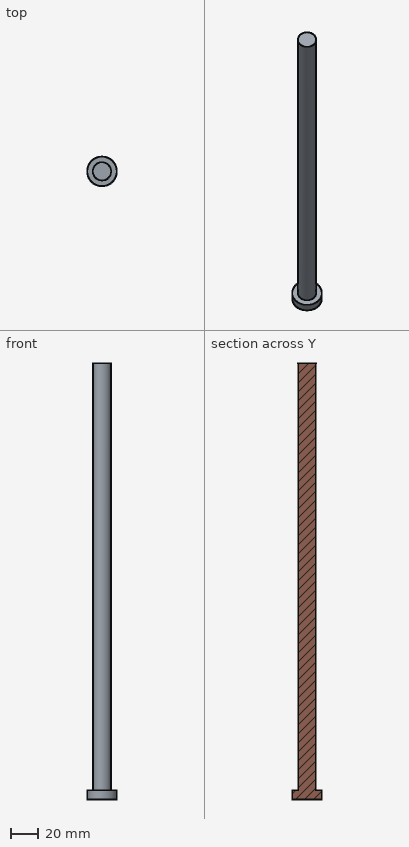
import cadquery as cq

HEAD_DIAMETER = 22.0
HEAD_HEIGHT = 7.0
SHANK_DIAMETER = 13.5
SHANK_LENGTH = 315.0
HEAD_BOTTOM_Z = -HEAD_HEIGHT


def make_cylinder(diameter, height, bottom_z):
    """Upright cylinder centred on the Z axis."""
    return cq.Workplane("XY").workplane(offset=bottom_z).circle(diameter / 2).extrude(height)


head = make_cylinder(HEAD_DIAMETER, HEAD_HEIGHT, HEAD_BOTTOM_Z)
shank = make_cylinder(SHANK_DIAMETER, SHANK_LENGTH, HEAD_BOTTOM_Z + HEAD_HEIGHT)

result = head.union(shank)